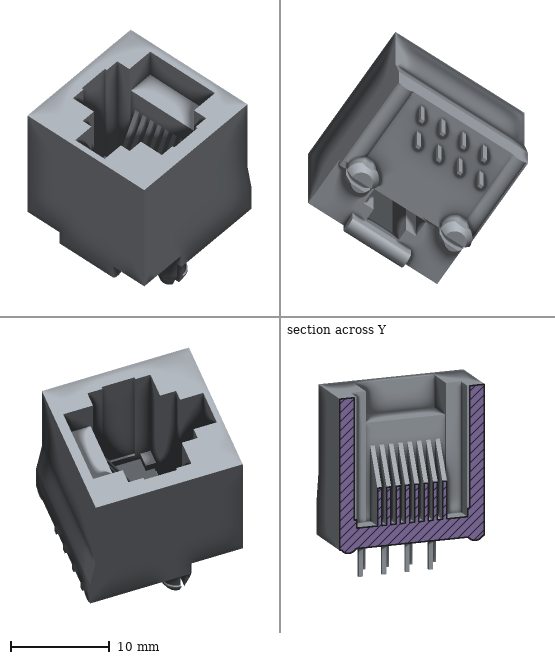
import cadquery as cq


width = 15.75
depth = 16.5
height = 19.81
base_z = 3.86
front_base_z = 5.57
step_y = 5.73
upper_depth = 15.89
slope_bottom_z = 7.01
slope_top_z = 10.48

arch_width = 1.65
arch_drop = 0.48
arch_spring_z = 3.92
tongue_length = 7.13
rail_outer_x = 7.7
rail_front_y = 6.5

floor_z = 6.06
floor_front_y = 5.01
plug_width = 11.99
plug_front_y = 4.85
plug_back_y = 11.67
recess_width = 8.72
recess_back_y = 14.88
contact_wall_y = 11.93
shelf_z = 16.42
groove_width = 12.48
groove_floor_z = 6.93
groove_front_y = 6.5
groove_back_y = 10.05
corner_back_y = 5.96
corner_z = 6.93

latch_wide = 6.34
latch_wide_y = 3.13
latch_narrow = 3.96
latch_narrow_y = 0.63
latch_ramp_y = 1.8
latch_ramp_rise = 4.7

pin_count = 8
contact_pitch = 1.01
contact_width = 0.5
contact_top_z = 13.97
contact_tip_y = 7.85
contact_embed = 0.2
pin_pitch = 1.27
pin_width = 0.45
pin_thickness = 0.35
pin_front_y = 13.0
pin_row_gap = 2.54

peg_x = 5.7
peg_y = 6.44
peg_radius = 1.6
peg_bottom_z = 0.25
peg_flat_front_y = 5.0
peg_flat_back_y = 7.98
slot_front_y = 5.85
slot_back_y = 6.5
front_taper_z = 1.96
front_tip_radius = 1.05
barb_radius = 1.78
barb_top_z = 1.66
barb_edge_z = 1.43
barb_tip_radius = 1.17


def block(x_size, y_min, y_max, z_min, z_max, x_mid=0.0):
    """Box centred on x_mid in X, spanning the given Y and Z ranges."""
    box = cq.Workplane("XY").box(x_size, y_max - y_min, z_max - z_min, centered=(True, False, False))
    return box.translate((x_mid, y_min, z_min))


def side_prism(points, x_size, x_mid=0.0):
    """Extrude a (Y, Z) polygon along X, centred on x_mid."""
    prism = cq.Workplane("YZ").polyline(points).close().extrude(x_size / 2, both=True)
    return prism.translate((x_mid, 0, 0))


def arched_foot(plane, start, length):
    """Foot along the plane normal: vertical sides down to arch_spring_z, then a shallow arc."""
    end = start + arch_width
    arch_low_point = (start + arch_width / 2, arch_spring_z - arch_drop)
    profile = (
        cq.Workplane(plane)
        .moveTo(start, front_base_z)
        .lineTo(start, arch_spring_z)
        .threePointArc(arch_low_point, (end, arch_spring_z))
        .lineTo(end, front_base_z)
        .close()
    )
    return profile.extrude(length)


def make_housing():
    outline = [
        (0, front_base_z),
        (step_y, front_base_z),
        (step_y, base_z),
        (depth, base_z),
        (depth, slope_bottom_z),
        (upper_depth, slope_top_z),
        (upper_depth, height),
        (0, height),
    ]
    return side_prism(outline, width)


def make_cavity():
    cavity = block(plug_width, plug_front_y, plug_back_y, floor_z, height)
    cavity = cavity.union(block(recess_width, plug_front_y, contact_wall_y, floor_z, height))
    cavity = cavity.union(block(recess_width, plug_front_y, recess_back_y, shelf_z, height))
    cavity = cavity.union(block(groove_width, groove_front_y, groove_back_y, groove_floor_z, height))
    corner_width = (plug_width - recess_width) / 2
    for side in (-1, 1):
        corner_x = side * (recess_width + corner_width) / 2
        cavity = cavity.cut(block(corner_width, plug_front_y, corner_back_y, floor_z, corner_z, corner_x))
    cavity = cavity.union(block(recess_width, plug_front_y, floor_front_y, base_z, height))
    cavity = cavity.union(block(latch_wide, latch_wide_y, floor_front_y, base_z, height))
    channel = [
        (plug_front_y, base_z),
        (latch_ramp_y, base_z),
        (latch_ramp_y, front_base_z),
        (latch_narrow_y, front_base_z + latch_ramp_rise),
        (latch_narrow_y, height),
        (plug_front_y, height),
    ]
    return cavity.union(side_prism(channel, latch_narrow))


def make_contact(x_mid):
    """Wedge-shaped contact rib between the floor and the contact wall."""
    wedge = [
        (contact_tip_y, floor_z),
        (contact_wall_y, contact_top_z),
        (contact_wall_y + contact_embed, contact_top_z),
        (contact_wall_y + contact_embed, floor_z - contact_embed),
        (contact_tip_y, floor_z - contact_embed),
    ]
    return side_prism(wedge, contact_width, x_mid)


def make_pin(x_mid, y_mid):
    return block(pin_width, y_mid - pin_thickness / 2, y_mid + pin_thickness / 2, 0, floor_z, x_mid)


def revolve_peg(profile):
    """Revolve an (R, Z) profile about the vertical axis at (0, peg_y)."""
    peg = cq.Workplane("XZ").polyline(profile).close().revolve(360, (0, 0, 0), (0, 1, 0))
    return peg.translate((0, peg_y, 0))


def make_peg():
    """Split peg at X = 0: tapered front half and barbed back half, with a slot between them."""
    peg_width = 2 * barb_radius
    front_profile = [
        (0, peg_bottom_z),
        (front_tip_radius, peg_bottom_z),
        (peg_radius, front_taper_z),
        (peg_radius, front_base_z),
        (0, front_base_z),
    ]
    front_zone = block(peg_width, peg_flat_front_y, slot_front_y, 0, height)
    back_profile = [
        (0, peg_bottom_z),
        (barb_tip_radius, peg_bottom_z),
        (barb_radius, barb_edge_z),
        (barb_radius, barb_top_z),
        (peg_radius, barb_top_z),
        (peg_radius, front_base_z),
        (0, front_base_z),
    ]
    back_zone = block(peg_width, slot_back_y, peg_flat_back_y, 0, height)
    front_half = revolve_peg(front_profile).intersect(front_zone)
    return front_half.union(revolve_peg(back_profile).intersect(back_zone))


result = make_housing().cut(make_cavity())

for index in range(pin_count):
    offset = index - (pin_count - 1) / 2
    result = result.union(make_contact(offset * contact_pitch))
    row_y = pin_front_y + (index % 2) * pin_row_gap
    result = result.union(make_pin(offset * pin_pitch, row_y))

tongue = arched_foot("YZ", 0, tongue_length).translate((-tongue_length / 2, 0, 0))
result = result.union(tongue)

rail = arched_foot("XZ", -rail_outer_x, depth - rail_front_y).translate((0, depth, 0))
result = result.union(rail).union(rail.mirror("YZ"))

peg = make_peg()
for side in (-1, 1):
    result = result.union(peg.translate((side * peg_x, 0, 0)))